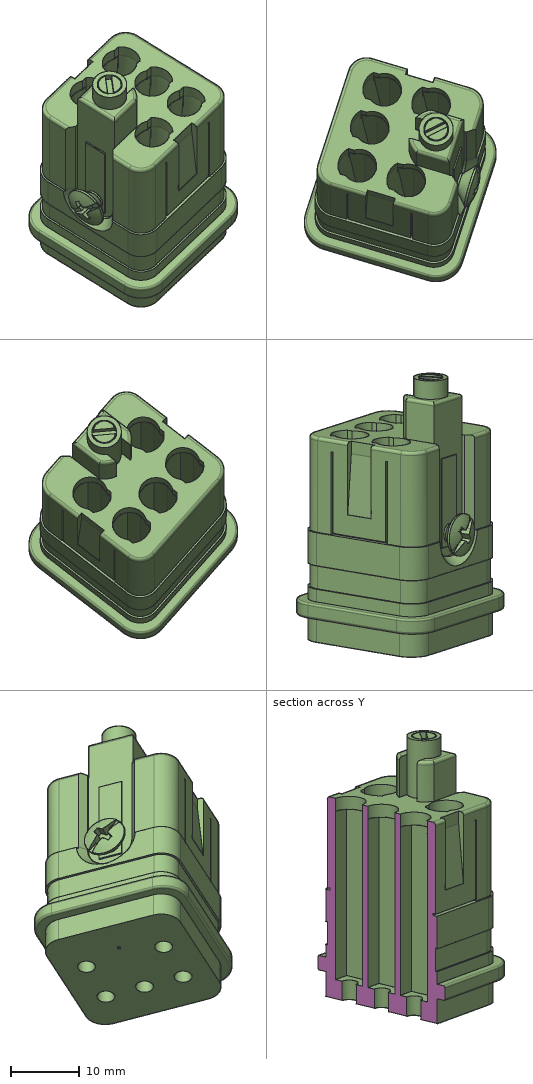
import cadquery as cq
import math

BODY_W = 20.5
BAND_W = 21.1
FLANGE_W = 24.0
CORNER_STRAIGHT = 15.0
FLANGE_CORNER_R = 4.0
FLANGE_EDGE_R = 0.3
TOP_EDGE_R = 0.5

FLANGE_Z0 = 3.8
FLANGE_Z1 = 6.1
NECK_Z0 = 8.0
NECK_Z1 = 11.5
BAND_Z1 = 16.5
BODY_TOP = 30.8

PIN_PITCH_X = 6.1
BACK_ROW_Y = 4.35
FRONT_ROW_Y = BACK_ROW_Y - 7.5
PIN_HOLE_D = 2.6
PIN_BORE_D = 5.0
PIN_BORE_DEPTH = 2.0
CHAMBER_FLOOR_Z = 3.0
RELIEF_W = 4.1
RELIEF_REACH = 3.13
RELIEF_CROWN = 0.85
LANCE_LEAN = 2.1

LUG_W = 7.0
LUG_FRONT_Y = -8.65
LUG_BACK_R = 4.0
LUG_TOP = 36.95
LUG_EDGE_R = 0.5
LUG_SLOT_W = 3.3
CLAMP_Y = -5.5
CLAMP_D = 5.0
CLAMP_TOP = 39.7
CLAMP_CORE_D = 3.36
CLAMP_GROOVE_D = 3.6
CLAMP_GROOVE_DEPTH = 0.5
CLAMP_SLOT_W = 0.9
CLAMP_SLOT_DEPTH = 1.0
TIP_D = 0.5
TIP_H = 0.1

CHANNEL_Z = 16.75
CHANNEL_R = LUG_W / 2
FLARE_Y = -9.07
FLARE_R = 4.66

PAD_W = 3.6
PAD_Z0 = 14.75
PAD_Z1 = 28.2
PAD_FRONT_Y = -8.87
HEAD_R = 3.15
SHANK_R = 1.4
CONE_Y = -9.2
RIM_Y0 = -10.8
RIM_Y1 = -11.15
HEAD_TIP_Y = -11.9
CROSS_REACH = 1.58
CROSS_ROOT = 0.8
CROSS_TIP_W = 0.77
CROSS_FLOOR_Y = -10.3
HEAD_SLOT_W = 0.8
HEAD_SLOT_FLOOR_Y = -11.0

LATCH_W = 4.2
LATCH_DEPTH = 0.95
LATCH_STEP_Z = 28.9
LATCH_Z0 = 19.9
LATCH_END_DEPTH = 0.05
GROOVE_W = 0.25
GROOVE_DEPTH = 0.5
GROOVE_SPAN = 10.1


def square_block(width, z0, z1, corner_r):
    block = cq.Workplane("XY").workplane(offset=z0).rect(width, width).extrude(z1 - z0)
    return block.edges("|Z").fillet(corner_r)


def cylinder_z(diameter, z0, z1, x=0.0, y=0.0):
    return cq.Workplane("XY").workplane(offset=z0).center(x, y).circle(diameter / 2).extrude(z1 - z0)


def box(x0, x1, y0, y1, z0, z1):
    return cq.Workplane("XY").box(x1 - x0, y1 - y0, z1 - z0, centered=False).translate((x0, y0, z0))


def housing():
    body_r = (BODY_W - CORNER_STRAIGHT) / 2
    band_r = (BAND_W - CORNER_STRAIGHT) / 2
    base = square_block(BAND_W, 0, NECK_Z0, band_r)
    flange = square_block(FLANGE_W, FLANGE_Z0, FLANGE_Z1, FLANGE_CORNER_R)
    flange = flange.faces("<Z or >Z").edges().fillet(FLANGE_EDGE_R)
    band = square_block(BAND_W, NECK_Z1, BAND_Z1, band_r)
    upper = square_block(BODY_W, 0, BODY_TOP, body_r).faces(">Z").edges().fillet(TOP_EDGE_R)
    return upper.union(base).union(flange).union(band)


def relief_outline(plane, x, y, reach):
    half = RELIEF_W / 2
    shoulder = reach - RELIEF_CROWN
    return (
        plane.moveTo(x - half, y)
        .lineTo(x - half, y + shoulder)
        .threePointArc((x, y + reach), (x + half, y + shoulder))
        .lineTo(x + half, y)
        .close()
    )


def contact_hole(x, y):
    """Round mouth over a chamber, with a concave lance leaning into the chamber from the back."""
    bore_r = PIN_BORE_D / 2
    relief_half = RELIEF_W / 2
    relief_shoulder = RELIEF_REACH - RELIEF_CROWN
    bore_floor_z = BODY_TOP - PIN_BORE_DEPTH
    chamber_height = bore_floor_z - CHAMBER_FLOOR_Z
    mouth_plane = cq.Workplane("XY").workplane(offset=bore_floor_z)

    hole = cylinder_z(PIN_HOLE_D, 0, BODY_TOP, x, y)
    bore = cylinder_z(PIN_BORE_D, bore_floor_z, BODY_TOP, x, y)
    relief = relief_outline(mouth_plane, x, y, RELIEF_REACH).extrude(PIN_BORE_DEPTH)

    chamber = (
        mouth_plane.moveTo(x - bore_r, y - bore_r)
        .lineTo(x + bore_r, y - bore_r)
        .lineTo(x + bore_r, y)
        .lineTo(x + relief_half, y + relief_shoulder)
        .lineTo(x - relief_half, y + relief_shoulder)
        .lineTo(x - bore_r, y)
        .close()
        .extrude(-chamber_height)
    )
    lance_block = relief_outline(mouth_plane, x, y, RELIEF_REACH).extrude(-chamber_height)
    lance_front = relief_outline(mouth_plane, x, y, RELIEF_REACH).workplane(offset=-chamber_height)
    lance_front = relief_outline(lance_front, x, y, RELIEF_REACH - LANCE_LEAN).loft(ruled=True)
    chamber = chamber.cut(lance_block).union(lance_front)
    return hole.union(bore).union(chamber).union(relief)


def channel():
    def u_outline(y, radius):
        return (
            cq.Workplane("XZ", origin=(0, y, 0))
            .moveTo(-radius, LUG_TOP)
            .lineTo(-radius, CHANNEL_Z)
            .threePointArc((0, CHANNEL_Z - radius), (radius, CHANNEL_Z))
            .lineTo(radius, LUG_TOP)
            .close()
        )

    straight = u_outline(LUG_FRONT_Y, CHANNEL_R).extrude(LUG_FRONT_Y - FLARE_Y)
    face_depth = FLARE_Y + BAND_W / 2
    slope = (FLARE_R - CHANNEL_R) / face_depth
    overrun = 2 * face_depth
    flare = u_outline(FLARE_Y, CHANNEL_R).extrude(overrun, taper=-math.degrees(math.atan(slope)))
    return straight.union(flare)


def lug():
    """Straight block trimmed at the back by a rounded one, both with a softened top edge."""
    def soften(block):
        return block.faces(">Z").edges().fillet(LUG_EDGE_R)

    half = LUG_W / 2
    back_y = CLAMP_Y + LUG_BACK_R
    straight = soften(box(-half, half, LUG_FRONT_Y, back_y + LUG_EDGE_R, BAND_Z1, LUG_TOP))
    rounded = soften(
        cq.Workplane("XY").workplane(offset=BAND_Z1)
        .moveTo(-LUG_BACK_R, CLAMP_Y)
        .threePointArc((0, back_y), (LUG_BACK_R, CLAMP_Y))
        .lineTo(LUG_BACK_R, LUG_FRONT_Y - LUG_W)
        .lineTo(-LUG_BACK_R, LUG_FRONT_Y - LUG_W)
        .close()
        .extrude(LUG_TOP - BAND_Z1)
    )
    block = straight.intersect(rounded)
    slot_half = LUG_SLOT_W / 2
    slot = box(-slot_half, slot_half, CLAMP_Y, CLAMP_Y + LUG_BACK_R, BODY_TOP, LUG_TOP)
    return block.cut(slot)


def clamping_screw():
    screw = cylinder_z(CLAMP_D, BODY_TOP, CLAMP_TOP, 0, CLAMP_Y)
    groove_z = CLAMP_TOP - CLAMP_GROOVE_DEPTH
    core = cylinder_z(CLAMP_CORE_D, groove_z, CLAMP_TOP, 0, CLAMP_Y)
    groove = cylinder_z(CLAMP_GROOVE_D, groove_z, CLAMP_TOP, 0, CLAMP_Y).cut(core)
    slot = (
        cq.Workplane("XY").workplane(offset=CLAMP_TOP - CLAMP_SLOT_DEPTH)
        .rect(CLAMP_D, CLAMP_SLOT_W)
        .extrude(CLAMP_SLOT_DEPTH)
        .rotate((0, 0, 0), (0, 0, 1), -45)
        .translate((0, CLAMP_Y, 0))
        .intersect(cylinder_z(CLAMP_GROOVE_D, 0, CLAMP_TOP, 0, CLAMP_Y))
    )
    return screw.cut(groove).cut(slot)


def screw_tip():
    return cylinder_z(TIP_D, -TIP_H, 0, 0, CLAMP_Y)


def pad():
    return box(-PAD_W / 2, PAD_W / 2, PAD_FRONT_Y, LUG_FRONT_Y, PAD_Z0, PAD_Z1)


def cross_recess():
    """Four tapered arms along the local axes; the finished head is turned 45 degrees."""
    corner = CROSS_ROOT / math.sqrt(2)
    tip = CROSS_TIP_W / 2
    points = []
    for quarter in range(4):
        c = round(math.cos(quarter * math.pi / 2))
        s = round(math.sin(quarter * math.pi / 2))
        for u, v in ((CROSS_REACH, -tip), (CROSS_REACH, tip), (corner, corner)):
            points.append((u * c - v * s, u * s + v * c))
    outline = cq.Workplane("XZ", origin=(0, CROSS_FLOOR_Y, 0)).polyline(points).close()
    return outline.extrude(CROSS_FLOOR_Y - HEAD_TIP_Y)


def countersunk_screw():
    dome_rise = RIM_Y1 - HEAD_TIP_Y
    dome_r = (HEAD_R**2 + dome_rise**2) / (2 * dome_rise)
    mid_r = HEAD_R / 2
    mid_y = HEAD_TIP_Y + dome_r - math.sqrt(dome_r**2 - mid_r**2)
    head = (
        cq.Workplane("XY")
        .moveTo(0, LUG_FRONT_Y)
        .lineTo(SHANK_R, LUG_FRONT_Y)
        .lineTo(SHANK_R, CONE_Y)
        .lineTo(HEAD_R, RIM_Y0)
        .lineTo(HEAD_R, RIM_Y1)
        .threePointArc((mid_r, mid_y), (0, HEAD_TIP_Y))
        .close()
        .revolve(360, (0, 0, 0), (0, 1, 0))
    )
    half = HEAD_SLOT_W / 2
    slot = box(-HEAD_R, HEAD_R, HEAD_TIP_Y, HEAD_SLOT_FLOOR_Y, -half, half)
    head = head.cut(slot).cut(cross_recess())
    return head.rotate((0, 0, 0), (0, 1, 0), -45).translate((0, 0, CHANNEL_Z))


def latch_cuts():
    """Recess and surrounding groove of the latch on the -X side."""
    face_x = -BODY_W / 2
    recess = (
        cq.Workplane("XZ", origin=(0, LATCH_W / 2, 0))
        .moveTo(face_x, BODY_TOP)
        .lineTo(face_x + LATCH_DEPTH, BODY_TOP)
        .lineTo(face_x + LATCH_DEPTH, LATCH_STEP_Z)
        .lineTo(face_x + LATCH_END_DEPTH, LATCH_Z0)
        .lineTo(face_x, LATCH_Z0)
        .close()
        .extrude(LATCH_W)
    )
    half = GROOVE_SPAN / 2
    inner = half - GROOVE_W
    floor_x = face_x + GROOVE_DEPTH
    groove = box(face_x, floor_x, -half, half, BAND_Z1, LATCH_STEP_Z)
    tongue = box(face_x, floor_x, -inner, inner, BAND_Z1 + GROOVE_W, LATCH_STEP_Z)
    return recess.union(groove.cut(tongue))


result = housing().cut(channel())
result = result.union(lug())

contact_places = [(column * PIN_PITCH_X, BACK_ROW_Y) for column in (-1, 0, 1)]
contact_places += [(column * PIN_PITCH_X, FRONT_ROW_Y) for column in (-1, 1)]
for place in contact_places:
    result = result.cut(contact_hole(*place))

result = result.cut(latch_cuts()).cut(latch_cuts().mirror("YZ"))
result = result.union(clamping_screw()).union(screw_tip())
result = result.union(pad()).union(countersunk_screw())